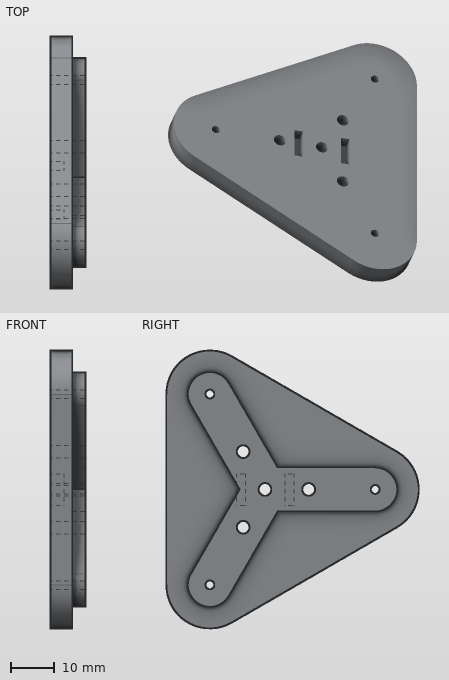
import cadquery as cq
import math

overall_height = 63.5
corner_radius = 10.0
plate_thickness = 5.0
arm_radius = 5.0
arm_thickness = 3.0
tip_hole_diameter = 2.0
inner_hole_diameter = 2.85
inner_circle_radius = 10.0
slot_width = 2.05
slot_height = 7.1
slot_offset = 5.5
slot_depth = 3.0

corner_spacing = overall_height - 2 * corner_radius
tip_circle_radius = corner_spacing / math.sqrt(3)
total_thickness = plate_thickness + arm_thickness
arm_angles = (0, 120, 240)


def points_on_circle(radius):
    """Three (Y, Z) points, one along each arm."""
    return [
        (radius * math.cos(math.radians(angle)), radius * math.sin(math.radians(angle)))
        for angle in arm_angles
    ]


def make_plate():
    """Triangular plate with rounded corners, its outer face on X = 0."""
    sharp_corners = points_on_circle(tip_circle_radius + 2 * corner_radius)
    plate = cq.Workplane("YZ").polyline(sharp_corners).close().extrude(plate_thickness)
    return plate.edges("|X").fillet(corner_radius)


def make_arm(angle):
    """Round-ended arm on the inner face, reaching from the centre to one tip hole."""
    arm = (
        cq.Workplane("YZ", origin=(plate_thickness, 0, 0))
        .center(tip_circle_radius / 2, 0)
        .slot2D(tip_circle_radius + 2 * arm_radius, 2 * arm_radius)
        .extrude(arm_thickness)
    )
    return arm.rotate((0, 0, 0), (1, 0, 0), angle)


def make_through_holes(points, diameter):
    return cq.Workplane("YZ").pushPoints(points).circle(diameter / 2).extrude(total_thickness)


def make_slots():
    """Two blind slots sunk into the outer face."""
    centres = [(slot_offset, 0), (-slot_offset, 0)]
    return cq.Workplane("YZ").pushPoints(centres).rect(slot_width, slot_height).extrude(slot_depth)


result = make_plate()
for arm_angle in arm_angles:
    result = result.union(make_arm(arm_angle))

inner_hole_points = [(0, 0)] + points_on_circle(inner_circle_radius)
result = result.cut(make_through_holes(points_on_circle(tip_circle_radius), tip_hole_diameter))
result = result.cut(make_through_holes(inner_hole_points, inner_hole_diameter))
result = result.cut(make_slots())